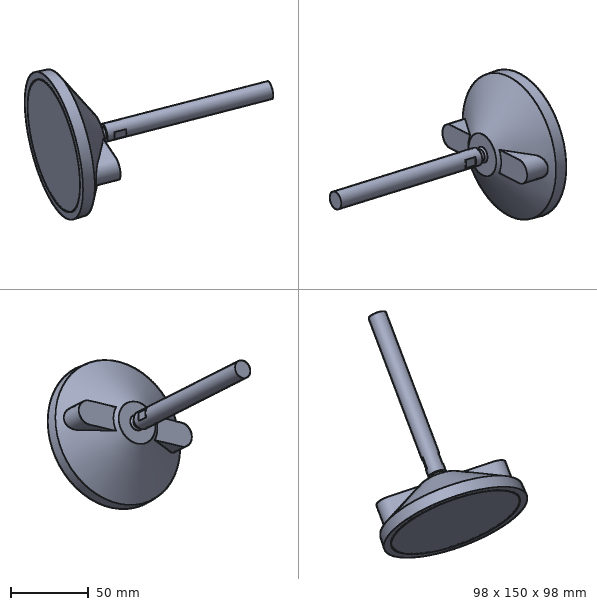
import cadquery as cq

total_length = 150

base_diameter = 98.0
rim_top_diameter = 97.2
rim_height = 8.2
cone_top_diameter = 28.5
cone_height = 30

pad_diameter = 87.5
groove_outer_diameter = 88.0
groove_depth = 0.8

lug_length = 88.0
lug_width = 16.4
lug_top = 28.2

flare_diameter = 10.5
neck_diameter = 7.8
flare_height = (flare_diameter - neck_diameter) / 2
rod_diameter = 12
rod_start = 35.0

flat_start = 39.9
flat_length = 8.1
across_flats = 10.5


def make_foot_body():
    """Revolve the base, neck and rod as one profile about the Y axis."""
    profile = (
        cq.Workplane("XY")
        .lineTo(base_diameter / 2, 0)
        .lineTo(rim_top_diameter / 2, rim_height)
        .lineTo(cone_top_diameter / 2, cone_height)
        .lineTo(flare_diameter / 2, cone_height)
        .lineTo(neck_diameter / 2, cone_height + flare_height)
        .lineTo(neck_diameter / 2, rod_start)
        .lineTo(rod_diameter / 2, rod_start)
        .lineTo(rod_diameter / 2, total_length)
        .lineTo(0, total_length)
        .close()
    )
    return profile.revolve(360, (0, 0, 0), (0, 1, 0))


def make_lugs():
    """Make the round-ended bar, rising from the rim level."""
    return (
        cq.Workplane("XZ", origin=(0, rim_height, 0))
        .slot2D(lug_length, lug_width)
        .extrude(rim_height - lug_top)
    )


def make_pad_groove():
    """Make the ring removed around the pad."""
    return (
        cq.Workplane("XZ")
        .circle(groove_outer_diameter / 2)
        .circle(pad_diameter / 2)
        .extrude(-groove_depth)
    )


def make_wrench_cut(side):
    """Make the block that cuts one flat; side is -1 or 1 along X."""
    return cq.Workplane("XY").box(rod_diameter, flat_length, rod_diameter).translate(
        (side * (across_flats + rod_diameter) / 2, flat_start + flat_length / 2, 0)
    )


result = make_foot_body().union(make_lugs()).cut(make_pad_groove())
for side in (-1, 1):
    result = result.cut(make_wrench_cut(side))